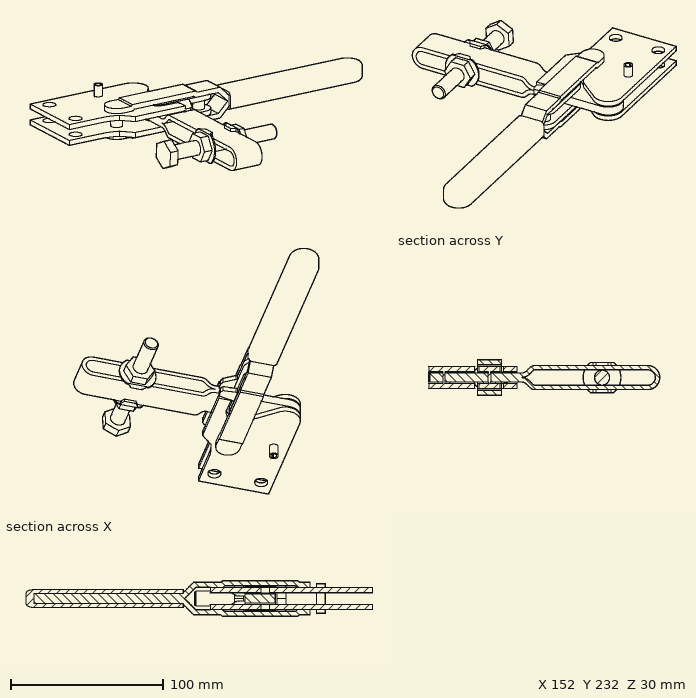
import cadquery as cq
import math


sheet = 3.5
cheek_inner = 3.8
cheek_outer = cheek_inner + sheet
base_left = -40.0
foot_right = 8.0
cheek_right = 18.2
shoulder_y = 45.0
neck_start_y = 25.5
neck_radius = 31.0
neck_sweep = math.radians(23)
mount_hole_diameter = 8.5
mount_hole_spacing = 32.0
mount_hole_x = 0.0
mount_hole_y = 10.0

strap = 3.0
arm_bottom = 64.0
arm_width = 20.0
arm_top = arm_bottom + arm_width
arm_y = arm_bottom + arm_width / 2
arm_end_radius = arm_width / 2
arm_pivot_x = base_left + arm_end_radius
arm_tip_x = 112.0
loop_radius = 8.0
bend_start_x = 20.9
bend_radius = 5.0
bend_angle = math.radians(45)

diagonal_angle = math.radians(40)
notch_radius = 10.0
diagonal_end_angle = math.radians(206)
flap_left = 8.0
flap_bend_x = 9.2
flap_top = 92.9
flap_slope_end = (17.1, 90.0)
flap_corner_y = 88.0
flap_drop = 2.2

bar_width = 16.0
bar_radius = bar_width / 2
handle_pivot_y = 42.0
link_top_y = 106.0
pivot_diameter = 8.0
jog = 1.0
jog_bottom_y = 48.2
jog_top_y = 99.8
fork_bend_y = 117.7
bar_bend_angle = math.radians(45)

grip_start_y = 124.4
grip_end_y = 232.0
grip_width = 20.0
grip_height = 12.4
grip_fillet = 3.0
grip_wall = 2.0

pin_x = -30.0
pin_y = 46.8
pin_length = 30.0
pin_diameter = 5.8
pin_bore = 3.8
pin_bore_depth = 5.0
pin_slit = 0.6

bolt_x = 74.0
bolt_diameter = 10.0
bolt_shank_start_y = 37.1
bolt_length = 80.0
bolt_chamfer = 0.8
head_height = 6.0
head_twist = 4.0
hex_across_flats = 17.0
hex_half_angle = 30.0
hex_across_corners = hex_across_flats / math.cos(math.radians(hex_half_angle))
nut_height = 6.0
washer_thickness = 1.0
washer_diameter = 25.0
washer_half_height = 10.0
tab_root_half_width = 5.8
tab_tip_half_width = 3.9
tab_length = 2.8


def z_cylinder(x, y, diameter, half_length):
    return cq.Workplane("XY").center(x, y).circle(diameter / 2).extrude(half_length, both=True)


def with_mirror(upper):
    """The part above the mid plane together with its mirror image below."""
    return upper.union(upper.mirror("XY"))


def make_cheek():
    neck_end = (
        foot_right + neck_radius * (1 - math.cos(neck_sweep)),
        neck_start_y + neck_radius * math.sin(neck_sweep),
    )
    neck_middle = (
        foot_right + neck_radius * (1 - math.cos(neck_sweep / 2)),
        neck_start_y + neck_radius * math.sin(neck_sweep / 2),
    )
    corner_middle_angle = math.radians(180) - (math.radians(90) + diagonal_angle) / 2

    def on_corner(angle):
        return (
            arm_pivot_x + arm_end_radius * math.cos(angle),
            arm_y + arm_end_radius * math.sin(angle),
        )

    notch_left = (
        notch_radius * math.cos(diagonal_end_angle),
        arm_y + notch_radius * math.sin(diagonal_end_angle),
    )
    return (
        cq.Workplane("XY", origin=(0, 0, cheek_inner))
        .moveTo(base_left, 0)
        .lineTo(foot_right, 0)
        .lineTo(foot_right, neck_start_y)
        .threePointArc(neck_middle, neck_end)
        .lineTo(cheek_right, shoulder_y)
        .lineTo(cheek_right, arm_top)
        .lineTo(notch_radius, arm_top)
        .lineTo(notch_radius, arm_y)
        .threePointArc((0, arm_y - notch_radius), notch_left)
        .lineTo(*on_corner(math.radians(90) - diagonal_angle))
        .threePointArc(on_corner(corner_middle_angle), on_corner(math.radians(180)))
        .close()
        .extrude(sheet)
    )


def make_flap():
    """Tab above the arm, bent towards the mid plane to stop the arm."""
    section = (
        cq.Workplane("XZ", origin=(0, arm_top, 0))
        .polyline([
            (flap_left, cheek_inner),
            (flap_bend_x, cheek_inner),
            (cheek_right, cheek_inner - flap_drop),
            (cheek_right, cheek_outer - flap_drop),
            (flap_bend_x, cheek_outer),
            (flap_left, cheek_outer),
        ])
        .close()
        .extrude(arm_top - flap_top)
    )
    outline = (
        cq.Workplane("XY")
        .polyline([
            (flap_left, arm_top),
            (cheek_right, arm_top),
            (cheek_right, flap_corner_y),
            flap_slope_end,
            (flap_bend_x, flap_top),
            (flap_left, flap_top),
        ])
        .close()
        .extrude(cheek_outer)
    )
    return section.intersect(outline)


def make_base():
    cheek = make_cheek().union(make_flap())
    for hole_x in (mount_hole_x, mount_hole_x - mount_hole_spacing):
        cheek = cheek.cut(z_cylinder(hole_x, mount_hole_y, mount_hole_diameter, cheek_outer))
    cheek = cheek.cut(z_cylinder(pin_x, pin_y, pin_diameter, cheek_outer))
    return (
        with_mirror(cheek)
        .union(z_cylinder(arm_pivot_x, arm_y, pivot_diameter, cheek_outer))
        .union(z_cylinder(0, handle_pivot_y, pivot_diameter, cheek_outer))
    )


def make_arm():
    """Two layers that part into a loop; one half outline is mirrored about the mid plane."""
    bend_run = bend_radius * math.sin(bend_angle)
    bend_rise = bend_radius * (1 - math.cos(bend_angle))
    slope_rise = loop_radius - strap - 2 * bend_rise
    slope_start_x = bend_start_x + bend_run
    slope_end_x = slope_start_x + slope_rise / math.tan(bend_angle)
    bend_end_x = slope_end_x + bend_run
    loop_inner = loop_radius - strap
    loop_center_x = arm_tip_x - loop_radius
    concave_z = strap + bend_radius
    convex_z = loop_radius - bend_radius
    inner_bend = bend_radius - strap
    wide_bend = bend_radius + strap

    def concave(radius, angle):
        return (bend_start_x + radius * math.sin(angle), concave_z - radius * math.cos(angle))

    def convex(radius, angle):
        return (bend_end_x - radius * math.sin(angle), convex_z + radius * math.cos(angle))

    def loop(radius, angle):
        return (loop_center_x + radius * math.cos(angle), radius * math.sin(angle))

    half_bend = bend_angle / 2
    loop_middle = math.radians(45)
    half = (
        cq.Workplane("XZ", origin=(0, arm_bottom, 0))
        .moveTo(base_left, 0)
        .lineTo(base_left, strap)
        .lineTo(bend_start_x, strap)
        .threePointArc(concave(bend_radius, half_bend), concave(bend_radius, bend_angle))
        .lineTo(*convex(bend_radius, bend_angle))
        .threePointArc(convex(bend_radius, half_bend), convex(bend_radius, 0))
        .lineTo(loop_center_x, loop_radius)
        .threePointArc(loop(loop_radius, loop_middle), loop(loop_radius, 0))
        .lineTo(*loop(loop_inner, 0))
        .threePointArc(loop(loop_inner, loop_middle), (loop_center_x, loop_inner))
        .lineTo(bend_end_x, loop_inner)
        .threePointArc(convex(inner_bend, half_bend), convex(inner_bend, bend_angle))
        .lineTo(*concave(wide_bend, bend_angle))
        .threePointArc(concave(wide_bend, half_bend), concave(wide_bend, 0))
        .close()
        .extrude(-arm_width)
    )
    plan = (
        cq.Workplane("XY")
        .moveTo(arm_pivot_x, arm_bottom)
        .lineTo(arm_tip_x, arm_bottom)
        .lineTo(arm_tip_x, arm_top)
        .lineTo(arm_pivot_x, arm_top)
        .threePointArc((base_left, arm_y), (arm_pivot_x, arm_bottom))
        .close()
        .extrude(loop_radius, both=True)
    )
    arm = with_mirror(half).intersect(plan)
    for pivot_x in (arm_pivot_x, 0):
        arm = arm.cut(z_cylinder(pivot_x, arm_y, pivot_diameter, strap))
    return arm


def make_link():
    """Two side plates joined by the handle pin and the arm pin."""
    plate = (
        cq.Workplane("XY", origin=(0, (arm_y + link_top_y) / 2, cheek_inner))
        .slot2D(link_top_y - arm_y + bar_width, bar_width, 90)
        .extrude(sheet)
    )
    link = with_mirror(plate)
    for pivot_y in (arm_y, link_top_y):
        link = link.union(z_cylinder(0, pivot_y, pivot_diameter, cheek_outer))
    return link


def make_handle():
    """Two bars that run outside the cheeks and meet in a tongue inside the grip."""
    low = cheek_outer
    corner_shift = sheet * math.tan(bar_bend_angle / 2)
    bar_end_y = handle_pivot_y - bar_radius
    tongue_end_y = grip_end_y - grip_wall
    inner_fork_y = fork_bend_y - corner_shift
    inner_jog_bottom_y = jog_bottom_y + corner_shift
    inner_jog_top_y = jog_top_y - corner_shift
    bar = (
        cq.Workplane("YZ", origin=(-bar_radius, 0, 0))
        .polyline([
            (bar_end_y, low + sheet),
            (jog_bottom_y, low + sheet),
            (jog_bottom_y + jog, low + sheet + jog),
            (jog_top_y - jog, low + sheet + jog),
            (jog_top_y, low + sheet),
            (fork_bend_y, low + sheet),
            (fork_bend_y + low, sheet),
            (tongue_end_y, sheet),
            (tongue_end_y, 0),
            (inner_fork_y + low, 0),
            (inner_fork_y, low),
            (inner_jog_top_y, low),
            (inner_jog_top_y - jog, low + jog),
            (inner_jog_bottom_y + jog, low + jog),
            (inner_jog_bottom_y, low),
            (bar_end_y, low),
        ])
        .close()
        .extrude(bar_width)
    )
    outline = (
        cq.Workplane("XY", origin=(0, (bar_end_y + tongue_end_y) / 2, 0))
        .slot2D(tongue_end_y - bar_end_y, bar_width, 90)
        .extrude(low + sheet + jog)
    )
    return with_mirror(bar.intersect(outline))


def make_grip(handle):
    grip_radius = grip_width / 2
    body = (
        cq.Workplane("XY", origin=(0, 0, -grip_height / 2))
        .moveTo(-grip_radius, grip_start_y)
        .lineTo(grip_radius, grip_start_y)
        .lineTo(grip_radius, grip_end_y - grip_radius)
        .threePointArc((0, grip_end_y), (-grip_radius, grip_end_y - grip_radius))
        .close()
        .extrude(grip_height)
        .faces(">Z or <Z")
        .edges("not <Y")
        .fillet(grip_fillet)
    )
    return body.cut(handle)


def make_spring_pin():
    half_length = pin_length / 2
    pin = z_cylinder(pin_x, pin_y, pin_diameter, half_length)
    bore = with_mirror(
        cq.Workplane("XY", origin=(pin_x, pin_y, half_length - pin_bore_depth))
        .circle(pin_bore / 2)
        .extrude(pin_bore_depth)
    )
    wall = (pin_diameter - pin_bore) / 2
    slit = (
        cq.Workplane("XY", origin=(pin_x, pin_y - pin_diameter / 2, 0))
        .box(pin_slit, 2 * wall, pin_length)
    )
    return pin.cut(bore).cut(slit)


def y_plane(y):
    """Plane across the bolt axis whose normal points to +Y; local x is -X, local y is Z."""
    return cq.Workplane(cq.Plane(origin=(bolt_x, y, 0), xDir=(-1, 0, 0), normal=(0, 1, 0)))


def make_upper_nut():
    """Nut on a clipped washer whose two tabs hook over the loop of the arm."""
    disc = y_plane(arm_top).circle(washer_diameter / 2).extrude(washer_thickness)
    clip = y_plane(arm_top).rect(washer_diameter, 2 * washer_half_height).extrude(washer_thickness)
    washer = disc.intersect(clip)
    nut = y_plane(arm_top + washer_thickness).polygon(6, hex_across_corners).extrude(nut_height)
    tab = (
        cq.Workplane("XY", origin=(bolt_x, arm_top, loop_radius))
        .polyline([
            (-tab_root_half_width, 0),
            (tab_root_half_width, 0),
            (tab_tip_half_width, -tab_length),
            (-tab_tip_half_width, -tab_length),
        ])
        .close()
        .extrude(washer_half_height - loop_radius)
    )
    return washer.union(nut).union(with_mirror(tab))


def make_spindle():
    shank = (
        y_plane(bolt_shank_start_y)
        .circle(bolt_diameter / 2)
        .extrude(bolt_length)
        .faces(">Y")
        .chamfer(bolt_chamfer)
    )
    head = (
        y_plane(bolt_shank_start_y - head_height)
        .transformed(rotate=(0, 0, hex_half_angle + head_twist))
        .polygon(6, hex_across_corners)
        .extrude(head_height)
    )
    upper_nut = make_upper_nut()
    lower_nut = upper_nut.mirror("XZ", (0, arm_y, 0))
    return shank.union(head).union(upper_nut).union(lower_nut)


base = make_base()
arm = make_arm()
link = make_link()
handle = make_handle()
grip = make_grip(handle)
spring_pin = make_spring_pin()
spindle = make_spindle()

result = cq.Compound.makeCompound([
    base.val(),
    arm.val(),
    link.val(),
    handle.val(),
    grip.val(),
    spring_pin.val(),
    spindle.val(),
])